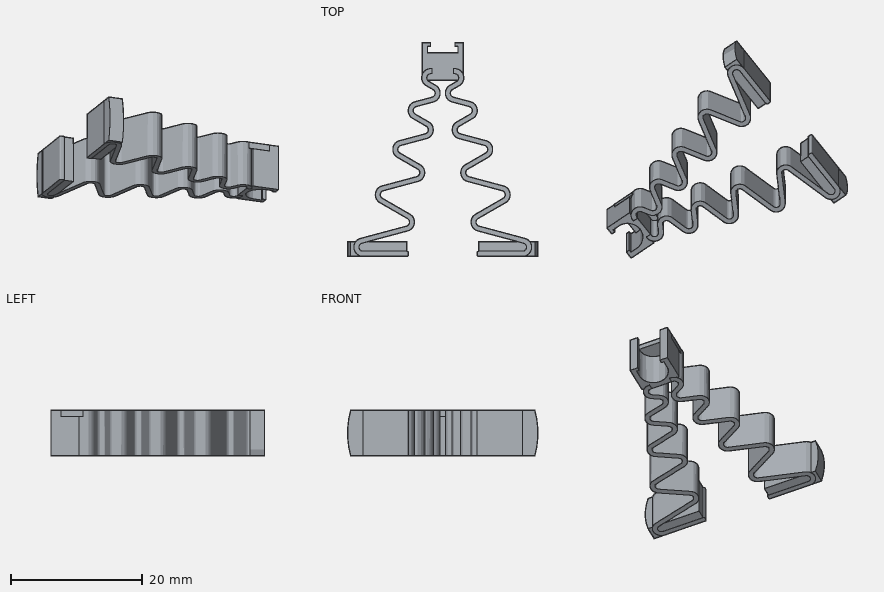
import cadquery as cq
import math

HEIGHT = 7.0
LENGTH = 32.6
WIDTH = 29.1

STRIP_THICKNESS = 0.78
BEND_RADIUS = 1.0
OUTER_BEND_RADIUS = BEND_RADIUS + STRIP_THICKNESS / 2
INWARD_HEADING = 15.0
OUTWARD_HEADING = 150.0
FOOT_LOOP_X = -12.15
HEAD_LOOP_X = -1.83
ZIGZAG_BEND_X = [-5.7, -8.9, -4.15, -6.23, -2.85, -3.88, -1.8]
TIP_X = -5.25
TIP_ROUNDING = 0.23

FOOT_INNER_X = -5.48
FOOT_DEPTH = 2.25
FOOT_CROWN = 0.5
FOOT_WEB = STRIP_THICKNESS
FOOT_WEB_OUTER_X = -13.83

HEAD_WIDTH = 6.25
HEAD_FRONT_Y = 28.35
SLOT_WIDTH = 4.6
SLOT_MOUTH_WIDTH = 3.72
SLOT_BOTTOM_Y = 28.65
HOOK_THICKNESS = 0.55
LID_OVERHANG = 0.03
LID_BACK_Y = 31.1
LID_FRONT_Y = 26.87
LID_THICKNESS = 0.98
PLUG_WIDTH = 3.33


def bend_centres():
    """Centres of all bends of the left spring, from the foot loop up to the head loop."""
    centres = [(FOOT_LOOP_X, OUTER_BEND_RADIUS)]
    for index, x in enumerate([*ZIGZAG_BEND_X, HEAD_LOOP_X]):
        heading = math.radians(OUTWARD_HEADING if index % 2 else INWARD_HEADING)
        last_x, last_y = centres[-1]
        rise = 2 * BEND_RADIUS / abs(math.cos(heading)) + (x - last_x) * math.tan(heading)
        centres.append((x, last_y + rise))
    return centres


BEND_CENTRES = bend_centres()
HEAD_LOOP_Y = BEND_CENTRES[-1][1]
PLUG_Y = HEAD_LOOP_Y + BEND_RADIUS


def bend_points(centre, clockwise, start_heading, end_heading, offset):
    """Start, middle and end of one side of a bend; offset is to the left of the travel."""
    radius = offset + (BEND_RADIUS if clockwise else -BEND_RADIUS)
    points = []
    for heading in (start_heading, (start_heading + end_heading) / 2, end_heading):
        angle = math.radians(heading + 90)
        points.append((centre[0] + radius * math.cos(angle), centre[1] + radius * math.sin(angle)))
    return points


def strip_side(offset):
    """Bend points along one side of the strip, from foot to head."""
    last = len(BEND_CENTRES) - 1
    side = []
    for index, centre in enumerate(BEND_CENTRES):
        clockwise = index % 2 == 0
        start = OUTWARD_HEADING if clockwise else INWARD_HEADING
        end = INWARD_HEADING if clockwise else OUTWARD_HEADING
        if index == 0:
            start = 180.0
        if index == last:
            end = 0.0
        side.append(bend_points(centre, clockwise, start, end, offset))
    return side


def make_strip():
    """Left spring as a plain bent strip, from the tip beside the foot to the plug in the head."""
    half = STRIP_THICKNESS / 2
    inner_end_x = -PLUG_WIDTH / 2
    tip_base_x = TIP_X - TIP_ROUNDING
    outline = cq.Workplane("XY").moveTo(tip_base_x, STRIP_THICKNESS)
    for start, middle, end in strip_side(-half):
        outline = outline.lineTo(*start).threePointArc(middle, end)
    outline = outline.lineTo(inner_end_x, PLUG_Y - half).lineTo(inner_end_x, PLUG_Y + half)
    for start, middle, end in reversed(strip_side(half)):
        outline = outline.lineTo(*end).threePointArc(middle, start)
    outline = outline.lineTo(tip_base_x, 0).tangentArcPoint((TIP_X, TIP_ROUNDING), relative=False)
    outline = outline.lineTo(TIP_X, STRIP_THICKNESS - TIP_ROUNDING)
    outline = outline.tangentArcPoint((tip_base_x, STRIP_THICKNESS), relative=False)
    return outline.close().extrude(HEIGHT)


def make_plug():
    """Bar of the head that fills the space between the two spring ends."""
    return cq.Workplane("XY").center(0, PLUG_Y).rect(PLUG_WIDTH, STRIP_THICKNESS).extrude(HEIGHT)


def make_foot_web():
    """Bar that crosses the foot loop at mid-height."""
    length = FOOT_LOOP_X - FOOT_WEB_OUTER_X
    web = cq.Workplane("XY").box(length, FOOT_WEB, FOOT_WEB, centered=(False, True, True))
    return web.translate((FOOT_WEB_OUTER_X, OUTER_BEND_RADIUS, HEIGHT / 2))


def make_spring():
    """Left spring, ending at the plug, with a window in its foot loop for the web."""
    return make_strip().cut(make_foot_web())


def make_foot():
    """Left foot: block with a crowned outer end, grooved for the spring."""
    crown_x = -WIDTH / 2
    corner_x = crown_x + FOOT_CROWN
    block = (
        cq.Workplane("XZ")
        .moveTo(FOOT_INNER_X, 0)
        .lineTo(corner_x, 0)
        .threePointArc((crown_x, HEIGHT / 2), (corner_x, HEIGHT))
        .lineTo(FOOT_INNER_X, HEIGHT)
        .close()
        .extrude(-FOOT_DEPTH)
    )
    return block.cut(make_strip()).union(make_foot_web())


def make_head():
    """Clip head: hooked slot open to the back, lid, and plug between the springs."""
    half = HEAD_WIDTH / 2
    half_slot = SLOT_WIDTH / 2
    half_mouth = SLOT_MOUTH_WIDTH / 2
    hook_y = LENGTH - HOOK_THICKNESS
    arc_y = SLOT_BOTTOM_Y + half_slot
    housing = (
        cq.Workplane("XY")
        .moveTo(-half, HEAD_FRONT_Y)
        .lineTo(half, HEAD_FRONT_Y)
        .lineTo(half, LENGTH)
        .lineTo(half_mouth, LENGTH)
        .lineTo(half_mouth, hook_y)
        .lineTo(half_slot, hook_y)
        .lineTo(half_slot, arc_y)
        .threePointArc((0, SLOT_BOTTOM_Y), (-half_slot, arc_y))
        .lineTo(-half_slot, hook_y)
        .lineTo(-half_mouth, hook_y)
        .lineTo(-half_mouth, LENGTH)
        .lineTo(-half, LENGTH)
        .close()
        .extrude(HEIGHT)
    )
    lid_width = HEAD_WIDTH + 2 * LID_OVERHANG
    lid_depth = LID_BACK_Y - LID_FRONT_Y
    lid = cq.Workplane("XY").box(lid_width, lid_depth, LID_THICKNESS, centered=(True, False, False))
    lid = lid.translate((0, LID_FRONT_Y, HEIGHT - LID_THICKNESS))
    left_seat = make_strip()
    right_seat = left_seat.mirror("YZ")
    return housing.union(lid).union(make_plug()).cut(left_seat).cut(right_seat)


def mirrored_pair(left):
    """A left body and its mirror image on the right, as two solids."""
    return [left.solids().val(), left.mirror("YZ").solids().val()]


head = make_head()
springs = mirrored_pair(make_spring())
feet = mirrored_pair(make_foot())
result = cq.Compound.makeCompound([head.solids().val(), *springs, *feet])